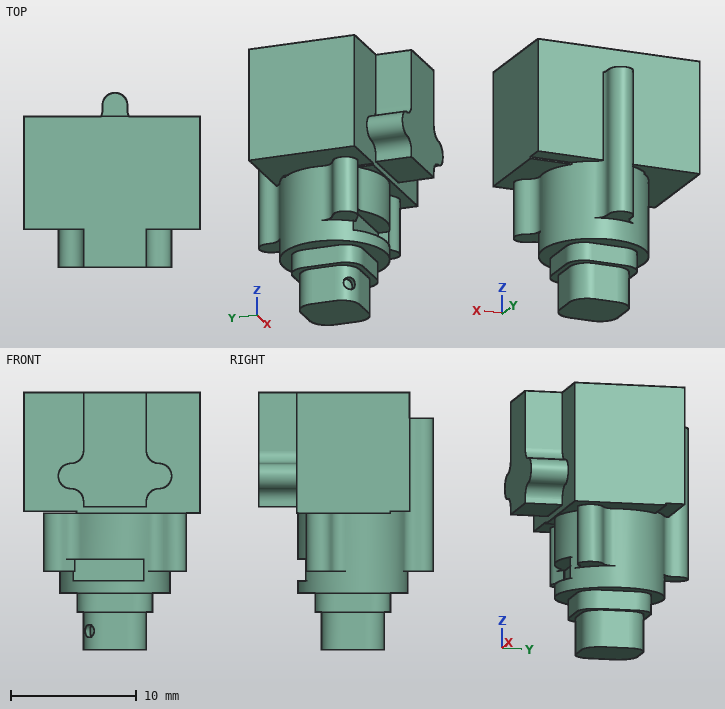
import cadquery as cq
import math

total_height = 20.45
shaft_top = 2.99
collar_top = 4.5
ear_bottom = 6.24
ear_top = 18.4
block_bottom = 10.85

shaft_width = 5.01
collar_width = 6.0
corner_radius = 1.51
pin_hole_diameter = 1.0
pin_hole_height = shaft_top / 2
pin_hole_depth = 0.5

body_radius = 8.75 / 2
ear_count = 3
ear_radius = 1.0
ear_reach = 6.4
ear_fillet = 1.0

notch_right = 2.27
notch_wall_y = -2.85
notch_bottom = 5.48
notch_top = 7.2

block_left = -7.24
block_right = 6.77
block_front = -4.45
block_back = 4.52

step_left = -3.07
step_back = 2.99
step_height = 0.15

connector_front = -7.48
connector_width = 5.0
connector_bottom = 11.35
lug_height = 13.8
lug_radius = 1.0


def box(x_range, y_range, z_range):
    """Axis-aligned box between the given limits."""
    sizes = [high - low for low, high in (x_range, y_range, z_range)]
    corner = (x_range[0], y_range[0], z_range[0])
    return cq.Workplane("XY").box(*sizes, centered=False).translate(corner)


def rounded_square(width, radius, bottom, top):
    """Square post on the body axis with rounded vertical edges."""
    post = cq.Workplane("XY").workplane(offset=bottom).rect(width, width).extrude(top - bottom)
    return post.edges("|Z").fillet(radius)


def make_shaft():
    """Shaft and collar, with a blind pin hole in the front left corner of the shaft."""
    shaft = rounded_square(shaft_width, corner_radius, 0, shaft_top)
    collar = rounded_square(collar_width, corner_radius, shaft_top, collar_top)
    drill = cq.Solid.makeCylinder(
        pin_hole_diameter / 2,
        shaft_width,
        cq.Vector(0, 0, pin_hole_height),
        cq.Vector(-1, -1, 0),
    )
    core = rounded_square(shaft_width - 2 * pin_hole_depth, corner_radius - pin_hole_depth, 0, shaft_top)
    hole = cq.Workplane(obj=drill).cut(core)
    return shaft.cut(hole).union(collar)


def around_axis(shape):
    """Copies of a shape at every ear position."""
    copies = cq.Workplane("XY")
    for index in range(ear_count):
        copies = copies.add(shape.rotate((0, 0, 0), (0, 0, 1), index * 360 / ear_count))
    return copies.combine()


def cylinder(radius, bottom, top):
    """Upright cylinder on the body axis."""
    return cq.Workplane("XY").workplane(offset=bottom).circle(radius).extrude(top - bottom)


def make_ear():
    """Straight round-ended ear pointing to the back, hollowed where the body passes."""
    tip_center = ear_reach - ear_radius
    ear = (
        cq.Workplane("XY")
        .workplane(offset=ear_bottom)
        .moveTo(ear_radius, 0)
        .lineTo(ear_radius, tip_center)
        .threePointArc((0, ear_reach), (-ear_radius, tip_center))
        .lineTo(-ear_radius, 0)
        .close()
        .extrude(ear_top - ear_bottom)
    )
    return ear.cut(cylinder(body_radius, ear_bottom, ear_top))


def make_ear_root():
    """Wedge under the ear with concave fillets that blend the ear sides into the body."""
    fillet_x = ear_radius + ear_fillet
    fillet_y = math.sqrt((body_radius + ear_fillet) ** 2 - fillet_x**2)
    touch_scale = body_radius / (body_radius + ear_fillet)
    touch_x = fillet_x * touch_scale
    touch_y = fillet_y * touch_scale
    middle_angle = (math.pi + math.atan2(fillet_y, fillet_x)) / 2
    middle_x = fillet_x - ear_fillet * math.sin(middle_angle)
    middle_y = fillet_y + ear_fillet * math.cos(middle_angle)
    return (
        cq.Workplane("XY")
        .workplane(offset=ear_bottom)
        .moveTo(0, 0)
        .lineTo(touch_x, touch_y)
        .threePointArc((middle_x, middle_y), (ear_radius, fillet_y))
        .lineTo(-ear_radius, fillet_y)
        .threePointArc((-middle_x, middle_y), (-touch_x, touch_y))
        .close()
        .extrude(ear_top - ear_bottom)
    )


def make_body():
    """Round body with evenly spaced ears; the front notch removes the body but not the ears."""
    notch = box((-ear_reach, notch_right), (-ear_reach, notch_wall_y), (notch_bottom, notch_top))
    body = cylinder(body_radius, collar_top, ear_top).union(around_axis(make_ear_root()))
    return body.cut(notch).union(around_axis(make_ear()))


def make_connector():
    """Upright connector with a round lug on each side, blended by concave arcs."""
    half_width = connector_width / 2
    lug_center = half_width + lug_radius
    lug_end = lug_center + lug_radius
    arc_offset = lug_radius * math.sqrt(0.5)
    arc_x = lug_center - arc_offset
    arc_rise = 2 * lug_radius - arc_offset
    half = (
        cq.Workplane("XZ", origin=(0, block_front, 0))
        .moveTo(0, connector_bottom)
        .lineTo(half_width, connector_bottom)
        .lineTo(half_width, lug_height - 2 * lug_radius)
        .threePointArc((arc_x, lug_height - arc_rise), (lug_center, lug_height - lug_radius))
        .threePointArc((lug_end, lug_height), (lug_center, lug_height + lug_radius))
        .threePointArc((arc_x, lug_height + arc_rise), (half_width, lug_height + 2 * lug_radius))
        .lineTo(half_width, total_height)
        .lineTo(0, total_height)
        .close()
        .extrude(block_front - connector_front)
    )
    return half.union(half.mirror("YZ"))


def make_block():
    """Rectangular housing with the thin step on its underside."""
    step_top = block_bottom + step_height
    main = box((block_left, block_right), (block_front, block_back), (step_top, total_height))
    step = box((step_left, block_right), (block_front, step_back), (block_bottom, step_top))
    return main.union(step)


gap = box(
    (block_left, step_left),
    (-ear_reach, ear_reach),
    (block_bottom, block_bottom + step_height),
)
body = make_body().cut(gap)
result = make_shaft().union(body).union(make_block()).union(make_connector())